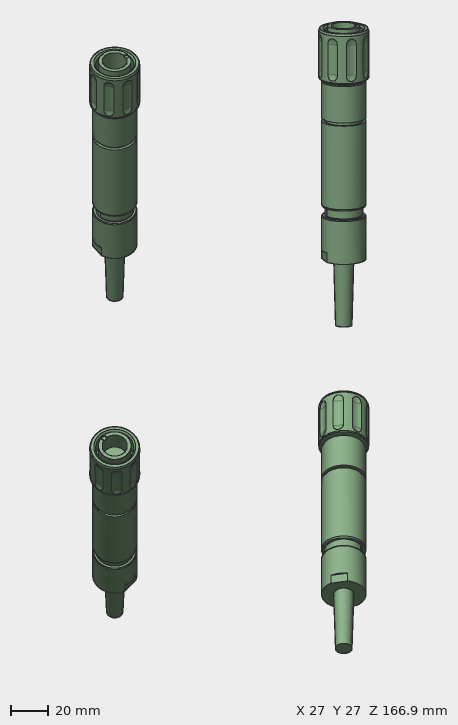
import cadquery as cq
import math

total_height = 166.89
rear_nut_bottom = 36.9
rear_nut_top = 61.3
rear_neck_top = 66.5
seal_groove_bottom = 113.9
seal_groove_top = 115.7
body_top = 136.5
ring_bottom = 137.6
ring_top = 165.5

cable_tip_radius = 4.5
cable_root_radius = 5.5
body_radius = 12.0
rear_neck_radius = 10.2
seal_groove_radius = 10.4
front_neck_radius = 9.5
ring_radius = 13.5
ring_bore_radius = 10.3
sleeve_radius = 8.8
sleeve_bore_radius = 6.7

body_chamfer = 0.5
body_rear_chamfer_height = 0.9
body_rear_chamfer_depth = 0.4
ring_chamfer_depth = 0.5
ring_top_chamfer_height = 1.2
ring_bottom_chamfer_height = 0.5
ring_bore_chamfer = 1.0

socket_depth = 12.0
keyway_width = 2.6
keyway_depth = 0.8

flute_count = 8
flute_cutter_radius = 7.0
flute_depth = 0.92
flute_straight_bottom = 142.5
flute_straight_top = 159.2

band_radius = 10.4
band_bottom_gap = 0.5
band_start_angle = -80.0
band_end_angle = 165.0

flat_height = 5.3
flat_half_width = 4.6


def cylinder(radius, bottom, top):
    """Upright cylinder on the part axis."""
    return cq.Workplane("XY").workplane(offset=bottom).circle(radius).extrude(top - bottom)


def outer_profile():
    """Stepped outline of cable, rear nut, body and coupling ring, turned about Z."""
    profile = [
        (0, 0),
        (cable_tip_radius, 0),
        (cable_root_radius, rear_nut_bottom),
        (body_radius, rear_nut_bottom),
        (body_radius, rear_nut_top - body_chamfer),
        (body_radius - body_chamfer, rear_nut_top),
        (rear_neck_radius, rear_nut_top),
        (rear_neck_radius, rear_neck_top),
        (body_radius - body_rear_chamfer_depth, rear_neck_top),
        (body_radius, rear_neck_top + body_rear_chamfer_height),
        (body_radius, seal_groove_bottom),
        (seal_groove_radius, seal_groove_bottom),
        (seal_groove_radius, seal_groove_top),
        (body_radius, seal_groove_top),
        (body_radius, body_top - body_chamfer),
        (body_radius - body_chamfer, body_top),
        (front_neck_radius, body_top),
        (front_neck_radius, ring_bottom),
        (ring_radius - ring_chamfer_depth, ring_bottom),
        (ring_radius, ring_bottom + ring_bottom_chamfer_height),
        (ring_radius, ring_top - ring_top_chamfer_height),
        (ring_radius - ring_chamfer_depth, ring_top),
        (0, ring_top),
    ]
    return cq.Workplane("XZ").polyline(profile).close().revolve(360, (0, 0, 0), (0, 1, 0))


def socket_cavity():
    """Round cavity inside the coupling ring, with a chamfered mouth."""
    floor = total_height - socket_depth
    profile = [
        (0, floor),
        (ring_bore_radius, floor),
        (ring_bore_radius, ring_top - ring_bore_chamfer),
        (ring_bore_radius + ring_bore_chamfer, ring_top),
        (0, ring_top),
    ]
    return cq.Workplane("XZ").polyline(profile).close().revolve(360, (0, 0, 0), (0, 1, 0))


def plug_sleeve():
    """Thin sleeve standing in the socket, with a shallow keyway notch on the +Y side."""
    floor = total_height - socket_depth
    sleeve = cylinder(sleeve_radius, floor, total_height)
    sleeve = sleeve.cut(cylinder(sleeve_bore_radius, floor, total_height))
    keyway = (
        cq.Workplane("XY")
        .workplane(offset=total_height - keyway_depth)
        .center(0, ring_bore_radius / 2)
        .rect(keyway_width, ring_bore_radius)
        .extrude(keyway_depth)
    )
    return sleeve.cut(keyway)


def grip_flute(angle):
    """Shallow lengthwise scoop with ball ends, placed at an angle about Z."""
    center_x = ring_radius - flute_depth + flute_cutter_radius
    scoop = cylinder(flute_cutter_radius, flute_straight_bottom, flute_straight_top)
    for end in (flute_straight_bottom, flute_straight_top):
        scoop = scoop.union(cq.Workplane("XY").sphere(flute_cutter_radius).translate((0, 0, end)))
    return scoop.translate((center_x, 0, 0)).rotate((0, 0, 0), (0, 0, 1), angle)


def neck_band():
    """Raised partial ring around the rear neck."""
    bottom = rear_nut_top + band_bottom_gap
    return (
        cq.Workplane("XZ")
        .moveTo(0, bottom)
        .lineTo(band_radius, bottom)
        .lineTo(band_radius, rear_neck_top)
        .lineTo(0, rear_neck_top)
        .close()
        .revolve(band_end_angle - band_start_angle, (0, 0, 0), (0, 1, 0))
        .rotate((0, 0, 0), (0, 0, 1), band_start_angle)
    )


def wrench_flat(side):
    """Block that mills a flat on the rear nut, on the +Y or -Y side."""
    flat_offset = math.sqrt(body_radius**2 - flat_half_width**2)
    return (
        cq.Workplane("XY")
        .workplane(offset=rear_nut_bottom)
        .center(0, side * (flat_offset + body_radius / 2))
        .rect(2 * body_radius, body_radius)
        .extrude(flat_height)
    )


result = outer_profile().union(neck_band())
result = result.cut(socket_cavity()).union(plug_sleeve())
for index in range(flute_count):
    result = result.cut(grip_flute(index * 360 / flute_count))
for side in (-1, 1):
    result = result.cut(wrench_flat(side))